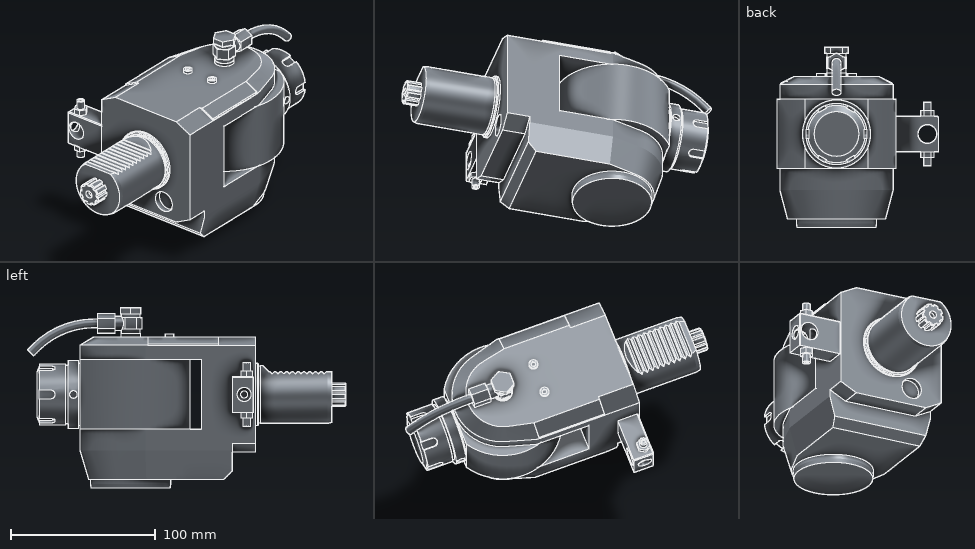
import cadquery as cq
import math

OVERLAP = 1.0

HALF_WIDTH = 39.3
TOP_Z = 40.0
CHAMFER_Z = 33.8
REAR_LENGTH = 16.0
REAR_CHAMFER_Y = 25.8
REAR_TOP_HALF = 27.1
MID_HALF_WIDTH = 38.8
MID_CHAMFER_Z = 35.0
MID_TOP_HALF = 29.1
SKIRT_TOP_Z = -38.8
SKIRT_BOTTOM_Z = -59.0
SKIRT_BOTTOM_HALF = 34.0
SKIRT_REAR_CHAMFER = 6.0
NOSE_START_Y = 76.1
NOSE_BEND_X = 33.5
NOSE_BEND_Y = 95.3
NOSE_Y = 121.5
NOSE_CHAMFER_HEIGHT = 5.7
MID_END_Y = 74.4
TOP_BEND_X = 25.0
TOP_BEND_Y = 93.3
TOP_FRONT_Y = 111.9
SKIRT_START_Y = 75.5
SKIRT_BEND_X = 28.0
SKIRT_BEND_Y = 94.2
SKIRT_FRONT_Y = 115.6

DRUM_Y = 86.5
DRUM_RADIUS = 41.3
WINDOW_HALF_HEIGHT = 24.0
WINDOW_REAR_Y = 37.5
COVER_RADIUS = 27.8
COVER_BOTTOM_Z = -64.9
COVER_CHAMFER_HEIGHT = 2.6
COVER_CHAMFER_WIDTH = 0.5

REAR_HOLE_RADIUS = 7.5
REAR_HOLE_X = 16.0
REAR_HOLE_Z = -27.5
REAR_HOLE_DEPTH = 4.5

RING_NECK_RADIUS = 21.6
RING_START_Y = 122.5
RING_RADIUS = 23.6
RING_END_Y = 129.8
RING_HOLE_RADIUS = 2.6
RING_HOLE_DEPTH = 3.3
NUT_NECK_RADIUS = 20.3
NUT_RADIUS = 21.2
NUT_START_Y = 131.5
NUT_END_Y = 149.6
LIP_END_Y = 151.4
LIP_BASE_RADIUS = 19.9
LIP_END_RADIUS = 15.5
NUT_SLOTS = 6
NUT_SLOT_WIDTH = 6.0
NUT_SLOT_DEPTH = 2.2
NUT_SLOT_START_Y = 138.8

COLLAR_RADIUS = 21.6
COLLAR_LENGTH = 2.0
COLLAR_CHAMFER = 0.7
UNDERCUT_RADIUS = 19.9
UNDERCUT_END = 3.3
SHANK_RADIUS = 20.0
SHANK_LENGTH = 52.7
SHANK_CHAMFER_LENGTH = 2.9
SHANK_CHAMFER_DEPTH = 0.7
RACK_START = 5.0
RACK_PEAK_Z = 15.9
RACK_TOOTH_DEPTH = 1.5
RACK_FIRST_VALLEY = 11.5
RACK_LAST_VALLEY = 47.5
RACK_VALLEYS = 10
RACK_PITCH = (RACK_LAST_VALLEY - RACK_FIRST_VALLEY) / (RACK_VALLEYS - 1)

SPLINE_END = 62.7
SPLINE_TEETH = 9
SPLINE_ROOT_RADIUS = 6.6
SPLINE_TIP_RADIUS = 8.2
SPLINE_TOOTH_WIDTH = 3.0
SPLINE_HOLE_RADIUS = 2.6
SPLINE_HOLE_DEPTH = 3.3
SPLINE_CHAMFER = 0.7

BLOCK_END_X = -70.6
BLOCK_HALF_HEIGHT = 12.4
BLOCK_START_Y = 1.3
BLOCK_CHAMFER = 0.7
BLOCK_BORE_X = -63.0
BLOCK_BORE_RADIUS = 6.5
SIDE_PORT_Y = 8.0
SIDE_PORT_RADIUS = 4.9
SIDE_PORT_END_X = -50.8
SIDE_CONE_END_X = -48.5
SIDE_DRILL_RADIUS = 2.5
SIDE_DRILL_END_X = -44.1
CLAMP_Y = 6.2
CLAMP_NUT_FLATS = 8.2
CLAMP_NUT_HEIGHT = 4.0
CLAMP_STUD_RADIUS = 2.6
CLAMP_STUD_END_Z = 22.0
CLAMP_SOCKET_FLATS = 2.6
CLAMP_SOCKET_DEPTH = 2.2

FITTING_RADIUS = 6.6
FITTING_BASE_RADIUS = 6.8
FITTING_BASE_TOP_Z = 42.1
FITTING_HEX_FLATS = 13.7
FITTING_HEX_BOTTOM_Z = 45.2
FITTING_HEX_TOP_Z = 53.2
CAP_HEX_FLATS = 14.1
CAP_BOTTOM_Z = 55.8
CAP_TOP_Z = 60.0
HOSE_Z = 49.2
ELBOW_RADIUS = 5.0
HOSE_NUT_FLATS = 12.0
HOSE_NUT_START_Y = 97.3
HOSE_NUT_END_Y = 109.5
HOSE_START_Y = 111.7
HOSE_RADIUS = 3.0
HOSE_BEND_RADIUS = 57.4
HOSE_BEND_ANGLE = 45.0
HOSE_TIP_LENGTH = 5.0

SCREW_X = 10.8
SCREW_Y = 59.5
SCREW_RADIUS = 3.0
SCREW_HEIGHT = 2.0
SCREW_SOCKET_FLATS = 3.0
SCREW_SOCKET_DEPTH = 1.3


def box(x_range, y_range, z_range):
    """Box between two limits on each axis."""
    sizes = [high - low for low, high in (x_range, y_range, z_range)]
    return cq.Workplane().box(*sizes, centered=False).translate((x_range[0], y_range[0], z_range[0]))


def cylinder_z(radius, x, y, z_start, z_end):
    return cq.Workplane().center(x, y).circle(radius).extrude(z_end - z_start).translate((0, 0, z_start))


def hexagon_z(flats, x, y, z_start, z_end, turn=0):
    """Hexagonal prism along Z; its corners lie on the X direction when turn is 0."""
    corners = flats / math.cos(math.pi / 6)
    prism = cq.Workplane().polygon(6, corners).extrude(z_end - z_start)
    return prism.rotate((0, 0, 0), (0, 0, 1), turn).translate((x, y, z_start))


def cylinder_y(radius, x, z, y_start, y_end):
    return cq.Workplane("XZ", origin=(x, y_start, z)).circle(radius).extrude(y_start - y_end)


def cylinder_x(radius, y, z, x_start, x_end):
    return cq.Workplane("YZ", origin=(x_start, y, z)).circle(radius).extrude(x_end - x_start)


def turned_y(profile):
    """Solid of revolution about the Y axis from (radius, y) points."""
    return cq.Workplane("XY").polyline(profile).close().revolve(360, (0, 0), (0, 1))


def section_along_y(right_half, y_start, y_end):
    """Prism along Y from the +X half of a symmetric (x, z) section, listed top to bottom."""
    left_half = [(-x, z) for x, z in reversed(right_half)]
    section = cq.Workplane("XZ", origin=(0, y_start, 0)).polyline(right_half + left_half).close()
    return section.extrude(y_start - y_end)


def nose_outline(half_width, start_y, bend_x, bend_y, front_y, z):
    """Wire at height z: straight sides, oblique sides from start_y to bend_y, and a front arc."""
    return (
        cq.Workplane(origin=(0, 0, z))
        .moveTo(-half_width, WINDOW_REAR_Y)
        .lineTo(half_width, WINDOW_REAR_Y)
        .lineTo(half_width, start_y)
        .lineTo(bend_x, bend_y)
        .threePointArc((0, front_y), (-bend_x, bend_y))
        .lineTo(-half_width, start_y)
        .close()
        .val()
    )


def nose():
    """Rounded front of the housing: straight walls, tapered skirt below, chamfer above."""
    walls = (HALF_WIDTH, NOSE_START_Y, NOSE_BEND_X, NOSE_BEND_Y, NOSE_Y)
    skirt_bottom = (SKIRT_BOTTOM_HALF, SKIRT_START_Y, SKIRT_BEND_X, SKIRT_BEND_Y, SKIRT_FRONT_Y)
    top_face = (MID_TOP_HALF, MID_END_Y, TOP_BEND_X, TOP_BEND_Y, TOP_FRONT_Y)
    outlines = [
        nose_outline(*skirt_bottom, SKIRT_BOTTOM_Z),
        nose_outline(*walls, SKIRT_TOP_Z),
        nose_outline(*walls, TOP_Z - NOSE_CHAMFER_HEIGHT),
        nose_outline(*top_face, TOP_Z),
    ]
    front_half = box((-HALF_WIDTH, HALF_WIDTH), (MID_END_Y, NOSE_Y + OVERLAP), (SKIRT_BOTTOM_Z, TOP_Z))
    return cq.Workplane(cq.Solid.makeLoft(outlines, True)).intersect(front_half)


def housing():
    rear_section = [
        (REAR_TOP_HALF, TOP_Z),
        (HALF_WIDTH, CHAMFER_Z),
        (HALF_WIDTH, -CHAMFER_Z),
        (REAR_TOP_HALF, -TOP_Z),
    ]
    skirt_section = [
        (HALF_WIDTH, SKIRT_TOP_Z),
        (SKIRT_BOTTOM_HALF, SKIRT_BOTTOM_Z),
    ]
    rear_top_section = rear_section[:2] + skirt_section
    mid_section = [
        (MID_TOP_HALF, TOP_Z),
        (MID_HALF_WIDTH, MID_CHAMFER_Z),
        (MID_HALF_WIDTH, CHAMFER_Z),
        (HALF_WIDTH, CHAMFER_Z),
    ] + skirt_section
    body = section_along_y(rear_section, 0, REAR_LENGTH)
    body = body.union(section_along_y(rear_top_section, REAR_LENGTH, REAR_CHAMFER_Y))
    body = body.union(section_along_y(mid_section, REAR_CHAMFER_Y, MID_END_Y))
    body = body.union(nose())
    skirt_rear_corner = [
        (REAR_LENGTH, SKIRT_BOTTOM_Z),
        (REAR_LENGTH + SKIRT_REAR_CHAMFER, SKIRT_BOTTOM_Z),
        (REAR_LENGTH, SKIRT_BOTTOM_Z + SKIRT_REAR_CHAMFER),
    ]
    body = body.cut(cq.Workplane("YZ").polyline(skirt_rear_corner).close().extrude(HALF_WIDTH, both=True))
    return body.cut(cylinder_y(REAR_HOLE_RADIUS, REAR_HOLE_X, REAR_HOLE_Z, 0, REAR_HOLE_DEPTH))


def drum_in_window(body):
    """Open the side window to the front and fill it with the drum, cut flat at the nose."""
    window_z = (-WINDOW_HALF_HEIGHT, WINDOW_HALF_HEIGHT)
    wide = (-DRUM_RADIUS, DRUM_RADIUS)
    body = body.cut(box(wide, (WINDOW_REAR_Y, NOSE_Y + OVERLAP), window_z))
    drum = cylinder_z(DRUM_RADIUS, 0, DRUM_Y, *window_z)
    return body.union(drum.intersect(box(wide, (WINDOW_REAR_Y, NOSE_Y), window_z)))


def bottom_cover():
    cover = cylinder_z(COVER_RADIUS, 0, DRUM_Y, COVER_BOTTOM_Z, SKIRT_BOTTOM_Z + OVERLAP)
    return cover.faces("<Z").edges().chamfer(COVER_CHAMFER_HEIGHT, COVER_CHAMFER_WIDTH)


def collet_nut():
    nut = turned_y([
        (0, NOSE_Y - OVERLAP),
        (RING_NECK_RADIUS, NOSE_Y - OVERLAP),
        (RING_NECK_RADIUS, RING_START_Y),
        (RING_RADIUS, RING_START_Y),
        (RING_RADIUS, RING_END_Y),
        (NUT_NECK_RADIUS, RING_END_Y),
        (NUT_NECK_RADIUS, NUT_START_Y),
        (NUT_RADIUS, NUT_START_Y),
        (NUT_RADIUS, NUT_END_Y),
        (LIP_BASE_RADIUS, NUT_END_Y),
        (LIP_END_RADIUS, LIP_END_Y),
        (0, LIP_END_Y),
    ])
    floor_x = NUT_RADIUS - NUT_SLOT_DEPTH
    half_slot = NUT_SLOT_WIDTH / 2
    outer_x = NUT_RADIUS + OVERLAP
    round_end_y = NUT_SLOT_START_Y + half_slot
    slot = box((floor_x, outer_x), (round_end_y, LIP_END_Y), (-half_slot, half_slot))
    slot = slot.union(cylinder_x(half_slot, round_end_y, 0, floor_x, outer_x))
    for index in range(NUT_SLOTS):
        nut = nut.cut(slot.rotate((0, 0, 0), (0, 1, 0), index * 360 / NUT_SLOTS))
    hole_y = (RING_START_Y + RING_END_Y) / 2
    for side in (-1, 1):
        hole_floor_x = side * (RING_RADIUS - RING_HOLE_DEPTH)
        nut = nut.cut(cylinder_x(RING_HOLE_RADIUS, hole_y, 0, hole_floor_x, side * (RING_RADIUS + OVERLAP)))
    return nut


def shank():
    body = turned_y([
        (0, OVERLAP),
        (COLLAR_RADIUS, OVERLAP),
        (COLLAR_RADIUS, COLLAR_CHAMFER - COLLAR_LENGTH),
        (COLLAR_RADIUS - COLLAR_CHAMFER, -COLLAR_LENGTH),
        (UNDERCUT_RADIUS, -COLLAR_LENGTH),
        (UNDERCUT_RADIUS, -UNDERCUT_END),
        (SHANK_RADIUS, -UNDERCUT_END),
        (SHANK_RADIUS, SHANK_CHAMFER_LENGTH - SHANK_LENGTH),
        (SHANK_RADIUS - SHANK_CHAMFER_DEPTH, -SHANK_LENGTH),
        (0, -SHANK_LENGTH),
    ])
    rack = [
        (-RACK_START, SHANK_RADIUS),
        (-RACK_START - (SHANK_RADIUS - RACK_PEAK_Z), RACK_PEAK_Z),
    ]
    for index in range(RACK_VALLEYS):
        valley_y = -RACK_FIRST_VALLEY - index * RACK_PITCH
        rack += [
            (valley_y + RACK_TOOTH_DEPTH, RACK_PEAK_Z),
            (valley_y, RACK_PEAK_Z - RACK_TOOTH_DEPTH),
            (valley_y - RACK_TOOTH_DEPTH, RACK_PEAK_Z),
        ]
    rack += [(-SHANK_LENGTH, RACK_PEAK_Z), (-SHANK_LENGTH, SHANK_RADIUS)]
    return body.cut(cq.Workplane("YZ").polyline(rack).close().extrude(SHANK_RADIUS, both=True))


def spline_end():
    start_y = OVERLAP - SHANK_LENGTH
    pinion = cylinder_y(SPLINE_ROOT_RADIUS, 0, 0, start_y, -SPLINE_END)
    half_tooth = SPLINE_TOOTH_WIDTH / 2
    tooth = box((-half_tooth, half_tooth), (-SPLINE_END, start_y), (-SPLINE_TIP_RADIUS, 0))
    for index in range(SPLINE_TEETH):
        pinion = pinion.union(tooth.rotate((0, 0, 0), (0, 1, 0), index * 360 / SPLINE_TEETH))
    envelope = cylinder_y(SPLINE_TIP_RADIUS, 0, 0, start_y, -SPLINE_END)
    pinion = pinion.intersect(envelope.faces("<Y").edges().chamfer(SPLINE_CHAMFER))
    return pinion.cut(cylinder_y(SPLINE_HOLE_RADIUS, 0, 0, -SPLINE_END, SPLINE_HOLE_DEPTH - SPLINE_END))


def clamp_screw():
    """Nut and socketed stud standing on the +Z face of the coolant block."""
    nut_top_z = BLOCK_HALF_HEIGHT + CLAMP_NUT_HEIGHT
    place = (BLOCK_BORE_X, CLAMP_Y)
    base_z = BLOCK_HALF_HEIGHT - OVERLAP
    screw = hexagon_z(CLAMP_NUT_FLATS, *place, base_z, nut_top_z)
    screw = screw.union(cylinder_z(CLAMP_STUD_RADIUS, *place, base_z, CLAMP_STUD_END_Z))
    socket_floor_z = CLAMP_STUD_END_Z - CLAMP_SOCKET_DEPTH
    return screw.cut(hexagon_z(CLAMP_SOCKET_FLATS, *place, socket_floor_z, CLAMP_STUD_END_Z))


def coolant_block():
    block = box(
        (BLOCK_END_X, OVERLAP - HALF_WIDTH),
        (BLOCK_START_Y, REAR_LENGTH),
        (-BLOCK_HALF_HEIGHT, BLOCK_HALF_HEIGHT),
    )
    outer_edges = block.edges("(<X and >Z) or (<X and <Y) or (<Y and >Z)")
    block = outer_edges.chamfer(BLOCK_CHAMFER)
    screw = clamp_screw()
    block = block.union(screw).union(screw.mirror("XY"))
    block = block.cut(cylinder_y(BLOCK_BORE_RADIUS, BLOCK_BORE_X, 0, 0, REAR_LENGTH + OVERLAP))
    port_profile = [
        (BLOCK_END_X, 0),
        (BLOCK_END_X, SIDE_PORT_RADIUS),
        (SIDE_PORT_END_X, SIDE_PORT_RADIUS),
        (SIDE_CONE_END_X, SIDE_DRILL_RADIUS),
        (SIDE_DRILL_END_X, SIDE_DRILL_RADIUS),
        (SIDE_DRILL_END_X, 0),
    ]
    port = cq.Workplane("XY").polyline(port_profile).close().revolve(360, (0, 0), (1, 0))
    return block.cut(port.translate((0, SIDE_PORT_Y, 0)))


def coolant_fitting():
    place = (0, DRUM_Y)
    fitting = cylinder_z(FITTING_RADIUS, *place, TOP_Z - OVERLAP, CAP_BOTTOM_Z)
    fitting = fitting.union(cylinder_z(FITTING_BASE_RADIUS, *place, TOP_Z - OVERLAP, FITTING_BASE_TOP_Z))
    fitting = fitting.union(
        hexagon_z(FITTING_HEX_FLATS, *place, FITTING_HEX_BOTTOM_Z, FITTING_HEX_TOP_Z, turn=90)
    )
    fitting = fitting.union(hexagon_z(CAP_HEX_FLATS, *place, CAP_BOTTOM_Z, CAP_TOP_Z))
    fitting = fitting.union(cylinder_y(ELBOW_RADIUS, 0, HOSE_Z, DRUM_Y, HOSE_NUT_START_Y + OVERLAP))
    hose_nut = hexagon_z(HOSE_NUT_FLATS, 0, 0, HOSE_NUT_START_Y, HOSE_NUT_END_Y, turn=90)
    hose_nut = hose_nut.rotate((0, 0, 0), (1, 0, 0), -90).translate((0, 0, HOSE_Z))
    return fitting.union(hose_nut)


def hose():
    """Straight stub out of the hose nut, a bend down towards the collet nut, and a straight tip."""
    stub = cylinder_y(HOSE_RADIUS, 0, HOSE_Z, HOSE_NUT_END_Y - OVERLAP, HOSE_START_Y)
    bend = (
        cq.Workplane("XZ", origin=(0, HOSE_START_Y, HOSE_Z))
        .circle(HOSE_RADIUS)
        .revolve(HOSE_BEND_ANGLE, (2.2, -HOSE_BEND_RADIUS), (-2.2, -HOSE_BEND_RADIUS))
    )
    tip = cylinder_y(HOSE_RADIUS, 0, HOSE_Z, HOSE_START_Y, HOSE_START_Y + HOSE_TIP_LENGTH)
    bend_center_z = HOSE_Z - HOSE_BEND_RADIUS
    tip = tip.rotate((0, HOSE_START_Y, bend_center_z), (1, HOSE_START_Y, bend_center_z), -HOSE_BEND_ANGLE)
    return stub.union(bend).union(tip)


def top_screw(x):
    head_top_z = TOP_Z + SCREW_HEIGHT
    head = cylinder_z(SCREW_RADIUS, x, SCREW_Y, TOP_Z - OVERLAP, head_top_z)
    return head.cut(hexagon_z(SCREW_SOCKET_FLATS, x, SCREW_Y, head_top_z - SCREW_SOCKET_DEPTH, head_top_z))


result = drum_in_window(housing())
for piece in (bottom_cover(), collet_nut(), shank(), spline_end()):
    result = result.union(piece)
for piece in (coolant_block(), coolant_fitting(), hose()):
    result = result.union(piece)
for screw_x in (-SCREW_X, SCREW_X):
    result = result.union(top_screw(screw_x))